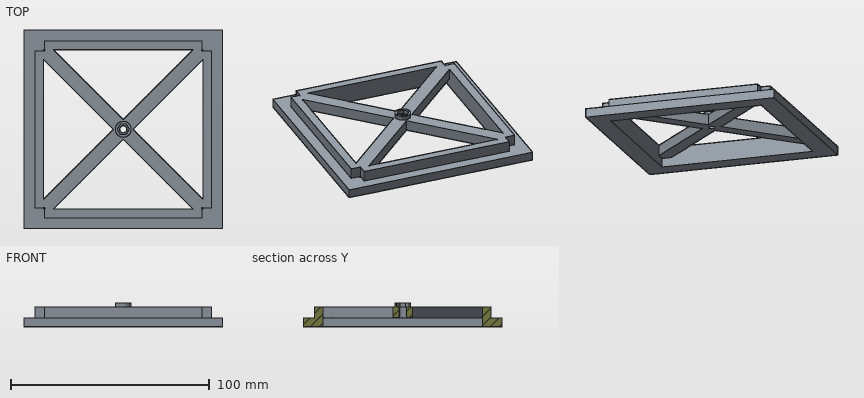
import cadquery as cq
import math

base_side = 100.0
base_height = 4.5

rim_side = 89.0
rim_height = 5.5
opening_side = 80.0
corner_notch = 5.0

strut_width = corner_notch * math.sqrt(2)
strut_length = opening_side * math.sqrt(2)

boss_diameter = 8.0
boss_height = 2.0
nut_across_corners = 6.0
nut_pocket_depth = boss_height
screw_hole_diameter = 3.5

frame_height = base_height + rim_height
total_height = frame_height + boss_height
notch_spacing = rim_side - corner_notch


def square_block(side, bottom, height):
    """Square block centred on the Z axis."""
    return cq.Workplane("XY").workplane(offset=bottom).rect(side, side).extrude(height)


def make_struts():
    """Two crossing diagonal bars at rim level, running from corner to corner of the opening."""
    bars = cq.Workplane("XY")
    for angle in (45, -45):
        bars = bars.union(
            cq.Workplane("XY")
            .workplane(offset=base_height)
            .transformed(rotate=(0, 0, angle))
            .rect(strut_length, strut_width)
            .extrude(rim_height)
        )
    return bars


def make_frame():
    """Flange and rim around the square opening, braced by the struts."""
    flange = square_block(base_side, 0, base_height)
    rim = square_block(rim_side, base_height, rim_height)
    opening = square_block(opening_side, 0, frame_height)
    return flange.union(rim).cut(opening).union(make_struts())


def cut_corner_notches(body):
    """Square notches that remove the rim corners down to the flange."""
    notches = (
        cq.Workplane("XY")
        .workplane(offset=base_height)
        .rect(notch_spacing, notch_spacing, forConstruction=True)
        .vertices()
        .rect(corner_notch, corner_notch)
        .extrude(rim_height)
    )
    return body.cut(notches)


def add_nut_boss(body):
    """Round boss with a hexagonal nut pocket above a through screw hole."""
    boss = (
        cq.Workplane("XY")
        .workplane(offset=frame_height)
        .circle(boss_diameter / 2)
        .extrude(boss_height)
    )
    nut_pocket = (
        cq.Workplane("XY")
        .workplane(offset=total_height - nut_pocket_depth)
        .polygon(6, nut_across_corners)
        .extrude(nut_pocket_depth)
    )
    screw_hole = cq.Workplane("XY").circle(screw_hole_diameter / 2).extrude(total_height)
    return body.union(boss).cut(nut_pocket).cut(screw_hole)


result = add_nut_boss(cut_corner_notches(make_frame()))